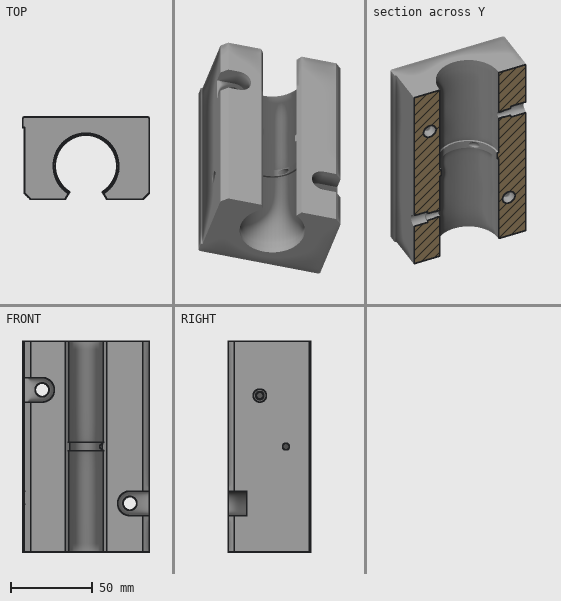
import cadquery as cq
import math

width = 78.0
depth = 51.0
height = 130.0
half_width = width / 2
front_y = -depth / 2
back_y = depth / 2

back_chamfer = 0.9
front_chamfer = 3.9
locating_step = 1.0
locating_land = 6.6

bore_radius = 20.2
bore_y = front_y + 20.7
mouth_half_angle = math.radians(32)

rib_radius = 19.0
rib_width = 5.2

mount_x = 27.0
mount_z = 35.0
mount_hole_diameter = 8.3
pocket_width = 15.1
pocket_depth = 11.3

side_hole_y = front_y + 19.5
side_hole_z = 31.5
side_hole_diameter = 4.3
side_thread_diameter = 5.0
side_thread_depth = 15.6
side_counterbore_diameter = 8.0
side_counterbore_depth = 10.4

feed_hole_diameter = 4.2
feed_hole_y = bore_y + 15.0


def cylinder_z(radius, length):
    """Cylinder on the bore axis, centred on the block height."""
    return cq.Workplane("XY").center(0, bore_y).circle(radius).extrude(length / 2, both=True)


def make_block():
    left_x = -half_width + locating_step
    outline = [
        (-half_width + back_chamfer, back_y),
        (half_width - back_chamfer, back_y),
        (half_width, back_y - back_chamfer),
        (half_width, front_y + front_chamfer),
        (half_width - front_chamfer, front_y),
        (left_x + front_chamfer, front_y),
        (left_x, front_y + front_chamfer),
        (left_x, back_y - locating_land),
        (-half_width, back_y - locating_land),
        (-half_width, back_y - back_chamfer),
    ]
    return cq.Workplane("XY").polyline(outline).close().extrude(height / 2, both=True)


def make_bore():
    bore = cylinder_z(bore_radius, height)
    return bore.cut(cylinder_z(bore_radius, rib_width)).union(cylinder_z(rib_radius, height))


def make_mouth():
    """Wedge spreading from the bore axis to the front face."""
    mouth_half_width = (bore_y - front_y) * math.tan(mouth_half_angle)
    wedge = [(0, bore_y), (-mouth_half_width, front_y), (mouth_half_width, front_y)]
    return cq.Workplane("XY").polyline(wedge).close().extrude(height / 2, both=True)


def make_mount(side):
    """Through hole and round-ended pocket; side is -1 (upper left) or 1 (lower right)."""
    x = side * mount_x
    z = -side * mount_z
    run_out = half_width - mount_x
    front = cq.Workplane("XZ", origin=(x, front_y, z))
    hole = front.circle(mount_hole_diameter / 2).extrude(-depth)
    round_end = front.circle(pocket_width / 2).extrude(-pocket_depth)
    channel = front.center(side * run_out / 2, 0).rect(run_out, pocket_width).extrude(-pocket_depth)
    return hole.union(round_end).union(channel)


def make_side_hole(side):
    """Stepped hole from one side face to the bore."""
    start = cq.Workplane("YZ", origin=(side * half_width, side_hole_y, side * side_hole_z))
    hole = start.circle(side_hole_diameter / 2).extrude(-side * half_width)
    thread = start.circle(side_thread_diameter / 2).extrude(-side * side_thread_depth)
    counterbore = start.circle(side_counterbore_diameter / 2).extrude(-side * side_counterbore_depth)
    return hole.union(thread).union(counterbore)


def make_feed_hole():
    return (
        cq.Workplane("YZ", origin=(0, feed_hole_y, 0))
        .circle(feed_hole_diameter / 2)
        .extrude(half_width)
    )


result = make_block().cut(make_bore()).cut(make_mouth()).cut(make_feed_hole())
for side in (-1, 1):
    result = result.cut(make_mount(side)).cut(make_side_hole(side))